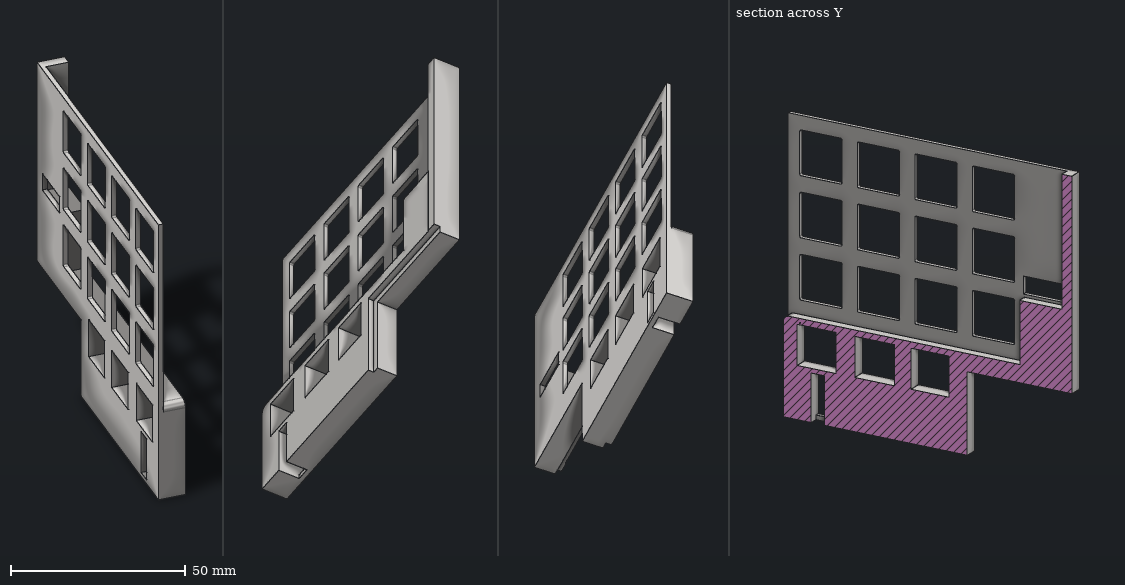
import cadquery as cq

WIDTH = 96.0
DEPTH = 8.5
HEIGHT = 92.5
PLATE_THICKNESS = 1.5

NOTCH_WIDTH = 34.8
NOTCH_HEIGHT = 25.6

BACK_DEPTH = 8.4
LEFT_WALL_WIDTH = 3.4
LEFT_BLOCK_END = 17.4
LEFT_BLOCK_TOP = 51.1
RIGHT_BLOCK_TOP = 31.4
BLOCK_CORNER_RADIUS = 2.1

REBATE_WIDTH = 2.1
REBATE_FLOOR = 6.5

KEY_COLUMNS = 4
KEY_ROWS = 3
KEY_SIZE = 14.0
KEY_PITCH = 19.1
LAST_KEY_X = 85.1
TOP_KEY_Z = 81.0
KEY_CORNER_RADIUS = 0.5

DEEP_CENTERS_X = (47.1, 65.6, 84.9)
DEEP_WIDTHS = (12.5, 13.1, 12.8)
DEEP_CENTER_Z = 23.0
DEEP_HEIGHT = 12.5

SIDE_SLOT_CENTER = (11.0, 54.7)
SIDE_SLOT_SIZE = (13.4, 5.5)
BOTTOM_SLOT_CENTER = (84.5, 8.4)
BOTTOM_SLOT_SIZE = (4.3, 13.7)


def slab(x_start, x_end, z_start, z_end, y_start, y_end):
    """Rectangular block between the given limits."""
    size = (x_end - x_start, y_end - y_start, z_end - z_start)
    return cq.Workplane("XY").box(*size, centered=False).translate((x_start, y_start, z_start))


def opening(center, size):
    """Cutter for a rectangular opening through the full depth."""
    x, z = center
    width, height = size
    return slab(x - width / 2, x + width / 2, z - height / 2, z + height / 2, 0, DEPTH)


def body():
    """Plate with its left wall and the two blocks on its back."""
    plate = slab(0, WIDTH, 0, HEIGHT, 0, PLATE_THICKNESS)
    left_wall = slab(0, LEFT_WALL_WIDTH, 0, HEIGHT, 0, DEPTH)
    left_block = slab(0, LEFT_BLOCK_END, 0, LEFT_BLOCK_TOP, 0, BACK_DEPTH)
    right_block = slab(0, WIDTH, 0, RIGHT_BLOCK_TOP, 0, BACK_DEPTH)
    right_block = right_block.edges(">X and >Z").fillet(BLOCK_CORNER_RADIUS)
    return plate.union(left_wall).union(left_block).union(right_block)


def cut_notch(part):
    """Remove the lower left corner, wider at the back to leave the rebate."""
    notch = slab(0, NOTCH_WIDTH, 0, NOTCH_HEIGHT, 0, DEPTH)
    rebate = slab(
        0, NOTCH_WIDTH + REBATE_WIDTH, 0, NOTCH_HEIGHT + REBATE_WIDTH, REBATE_FLOOR, DEPTH
    )
    return part.cut(notch).cut(rebate)


def cut_key_grid(part):
    """Cut the rounded key openings."""
    for row in range(KEY_ROWS):
        for column in range(KEY_COLUMNS):
            center = (LAST_KEY_X - column * KEY_PITCH, TOP_KEY_Z - row * KEY_PITCH)
            key = opening(center, (KEY_SIZE, KEY_SIZE)).edges("|Y").fillet(KEY_CORNER_RADIUS)
            part = part.cut(key)
    return part


def cut_deep_row(part):
    """Cut the openings that pass through the right block."""
    for center_x, width in zip(DEEP_CENTERS_X, DEEP_WIDTHS):
        part = part.cut(opening((center_x, DEEP_CENTER_Z), (width, DEEP_HEIGHT)))
    return part


def cut_slots(part):
    """Cut the narrow slots beside and below the openings."""
    part = part.cut(opening(SIDE_SLOT_CENTER, SIDE_SLOT_SIZE))
    return part.cut(opening(BOTTOM_SLOT_CENTER, BOTTOM_SLOT_SIZE))


def cut_bottom_channel(part):
    """Behind the plate, carry the bottom slot down through the lower edge."""
    x, z = BOTTOM_SLOT_CENTER
    width = BOTTOM_SLOT_SIZE[0]
    channel = slab(x - width / 2, x + width / 2, 0, z, PLATE_THICKNESS, DEPTH)
    return part.cut(channel)


result = body()
result = cut_notch(result)
result = cut_key_grid(result)
result = cut_deep_row(result)
result = cut_slots(result)
result = cut_bottom_channel(result)